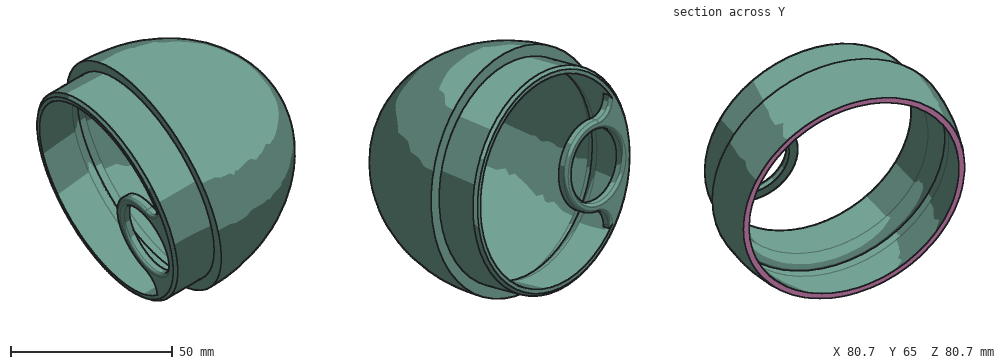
import cadquery as cq
import math

dome_radius = 40.35
dome_height = 50.0
dome_wall = 2.0

skirt_length = 15.0
skirt_radius = 73.2 / 2
rim_radius = 71.2 / 2
rim_chamfer = skirt_radius - rim_radius
bore_radius = 34.2

shoulder_height = 1.5
collar_height = 4.35

plate_thickness = 3.0
hole_radius = 24.0 / 2
hole_offset = 20.65
eyelet_radius = hole_radius + plate_thickness
throat_radius = 5.8
edge_round = 1.0


def make_shell():
    """Revolved wall: outer ellipse, seat, skirt, chamfered rim, bore, shoulder, collar and inner ellipse."""
    cavity_radius = dome_radius - dome_wall
    cavity_height = dome_height - dome_wall
    cavity_start_angle = math.degrees(math.asin(collar_height / cavity_height))
    collar_radius = cavity_radius * math.cos(math.radians(cavity_start_angle))
    shoulder_round = collar_radius - bore_radius

    profile = (
        cq.Workplane("XY")
        .moveTo(0, dome_height)
        .ellipseArc(dome_radius, dome_height, 0, 90, startAtCurrent=True, sense=-1)
        .lineTo(skirt_radius, 0)
        .lineTo(skirt_radius, rim_chamfer - skirt_length)
        .lineTo(rim_radius, -skirt_length)
        .lineTo(bore_radius, -skirt_length)
        .lineTo(bore_radius, shoulder_height - shoulder_round)
        .tangentArcPoint((collar_radius, shoulder_height), relative=False)
        .lineTo(collar_radius, collar_height)
        .ellipseArc(cavity_radius, cavity_height, cavity_start_angle, 90, startAtCurrent=True)
        .close()
    )
    return profile.revolve(360, (0, 0, 0), (0, 1, 0))


def make_eyelet_plate():
    """Web with an S-shaped free edge around the hole, its back rooted inside the skirt wall."""
    root_radius = (bore_radius + rim_radius) / 2
    throat_x = hole_offset + throat_radius
    throat_z = eyelet_radius + throat_radius
    throat_mid_x = hole_offset + throat_radius * math.sin(math.pi / 4)
    throat_mid_z = throat_z - throat_radius * math.cos(math.pi / 4)
    blank_edge = dome_radius

    plate_back = cq.Workplane("XZ", origin=(0, plate_thickness - skirt_length, 0))
    blank = (
        plate_back.moveTo(throat_x, blank_edge)
        .lineTo(throat_x, throat_z)
        .threePointArc((throat_mid_x, throat_mid_z), (hole_offset, eyelet_radius))
        .threePointArc((hole_offset - eyelet_radius, 0), (hole_offset, -eyelet_radius))
        .threePointArc((throat_mid_x, -throat_mid_z), (throat_x, -throat_z))
        .lineTo(throat_x, -blank_edge)
        .lineTo(blank_edge, -blank_edge)
        .lineTo(blank_edge, blank_edge)
        .close()
        .moveTo(hole_offset, 0)
        .circle(hole_radius)
        .extrude(plate_thickness)
    )
    rounded = blank.faces("<Y").edges().fillet(edge_round)
    root_disc = plate_back.circle(root_radius).extrude(plate_thickness)
    return rounded.intersect(root_disc)


result = make_shell().union(make_eyelet_plate())